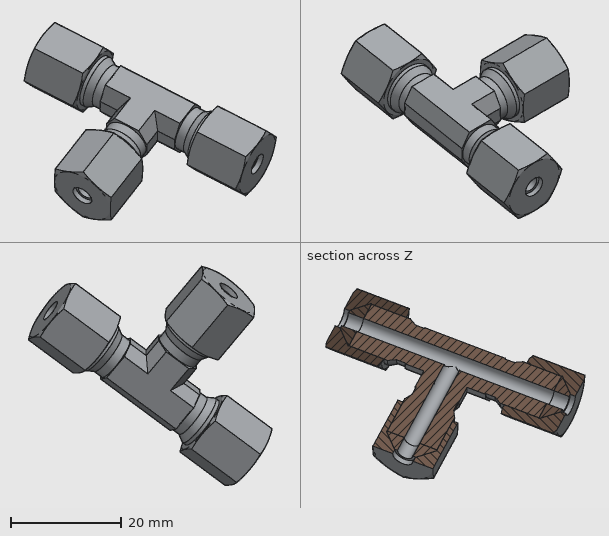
import cadquery as cq
import math

ARM_REACH = 23.0
BRANCH_ANGLE = -90
RUN_ANGLES = (0, 180)
ARM_ANGLES = (*RUN_ANGLES, BRANCH_ANGLE)

BODY_FLATS = 9.0
BODY_WIDTH = 8.7
BODY_REACH = 8.0

NECK_RADIUS = 4.2
NECK_END = 9.8
STUB_RADIUS = 5.0
CONE_END = 11.22
FLOW_RADIUS = 1.495

NUT_FLATS = 12.0
NUT_LENGTH = 11.05
NUT_FACE_RADIUS = 5.95
NUT_CHAMFER = 0.3
TUBE_RADIUS = 2.0
NUT_WALL = 1.0
BRANCH_ROLL = 90

NUT_START = ARM_REACH - NUT_LENGTH
FERRULE_END = ARM_REACH - NUT_WALL
STUB_END = FERRULE_END - (STUB_RADIUS - TUBE_RADIUS)

CORNERS_PER_FLAT = 2 / math.sqrt(3)


def turned(profile):
    """Revolve (position along X, radius) points about the X axis."""
    return cq.Workplane("XY").polyline(profile).close().revolve(360, (0, 0, 0), (1, 0, 0))


def along_arm(shape, angle):
    """Turn a shape built along +X to the direction of one arm."""
    return shape.rotate((0, 0, 0), (0, 0, 1), angle)


def hexagon_bar(flats, start, end):
    """Hexagonal bar along +X with corners at +Y and -Y."""
    bar = cq.Workplane("YZ").workplane(offset=start)
    return bar.polygon(6, flats * CORNERS_PER_FLAT).extrude(end - start)


def body_bar(start, end):
    """Forged bar along +X: a hexagon with its two side corners trimmed flat."""
    bar = hexagon_bar(BODY_FLATS, start, end)
    trim = cq.Workplane("XY").box(2 * BODY_REACH, BODY_WIDTH, BODY_FLATS)
    return bar.intersect(trim)


def make_stub():
    """Neck, cone and nut-carrying stub of one arm."""
    return turned([
        (0, 0),
        (0, NECK_RADIUS),
        (NECK_END, NECK_RADIUS),
        (CONE_END, STUB_RADIUS),
        (STUB_END, STUB_RADIUS),
        (STUB_END, 0),
    ])


def make_tee():
    """T-shaped body with three stubs and a flow bore through each arm."""
    bore = cq.Workplane("YZ").circle(FLOW_RADIUS).extrude(STUB_END)
    run = body_bar(-BODY_REACH, BODY_REACH)
    branch = along_arm(body_bar(0, BODY_REACH), BRANCH_ANGLE)
    tee = run.union(branch)
    for angle in ARM_ANGLES:
        tee = tee.union(along_arm(make_stub(), angle))
    for angle in ARM_ANGLES:
        tee = tee.cut(along_arm(bore, angle))
    return tee


def make_nut(angle, roll):
    """Hexagonal union nut, its corners turned by `roll` degrees about the arm axis."""
    corner_radius = NUT_FLATS * CORNERS_PER_FLAT / 2
    blank = hexagon_bar(NUT_FLATS, NUT_START, ARM_REACH).rotate((0, 0, 0), (1, 0, 0), roll)
    chamfer_envelope = turned([
        (NUT_START, 0),
        (NUT_START, NUT_FACE_RADIUS),
        (NUT_START + NUT_CHAMFER, corner_radius),
        (ARM_REACH - NUT_CHAMFER, corner_radius),
        (ARM_REACH, NUT_FACE_RADIUS),
        (ARM_REACH, 0),
    ])
    inside = turned([
        (NUT_START, 0),
        (NUT_START, STUB_RADIUS),
        (STUB_END, STUB_RADIUS),
        (FERRULE_END, TUBE_RADIUS),
        (ARM_REACH, TUBE_RADIUS),
        (ARM_REACH, 0),
    ])
    return along_arm(blank.intersect(chamfer_envelope).cut(inside), angle)


def make_ferrule(angle):
    """Tapered ring held between the end of the stub and the seat in the nut."""
    ring = turned([
        (STUB_END, FLOW_RADIUS),
        (STUB_END, STUB_RADIUS),
        (FERRULE_END, TUBE_RADIUS),
        (FERRULE_END, FLOW_RADIUS),
    ])
    return along_arm(ring, angle)


tee = make_tee()
nuts = [make_nut(angle, 0) for angle in RUN_ANGLES]
nuts.append(make_nut(BRANCH_ANGLE, BRANCH_ROLL))
ferrules = [make_ferrule(angle) for angle in ARM_ANGLES]

result = cq.Compound.makeCompound([
    tee.val(),
    *[nut.val() for nut in nuts],
    *[ferrule.val() for ferrule in ferrules],
])